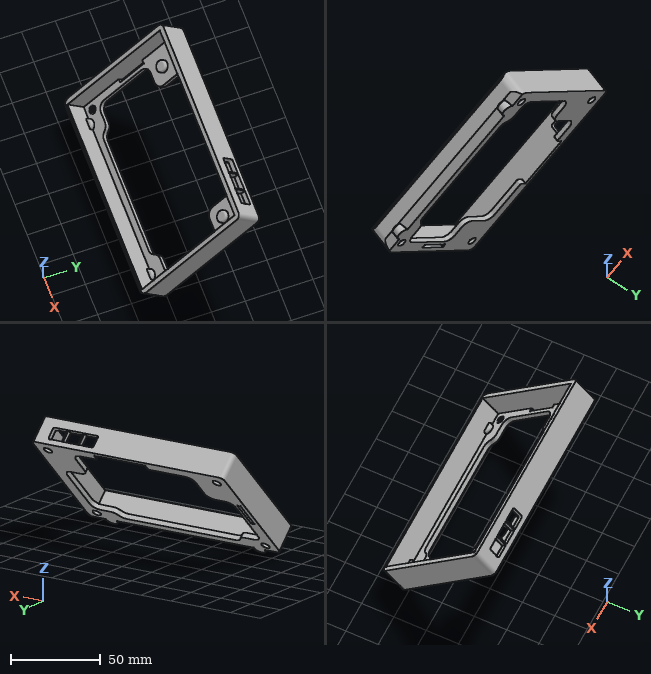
import cadquery as cq
import math


width = 128.8
length = 83.7
depth = 16.9
wall = 3.2
floor = 3.2
tilt_angle = 45.0
top_corner_radius = 3.1
bottom_corner_radius = 5.9
front_chamfer = 2.0
back_bevel_depth = 5.7
back_bevel_inset = 2.0

side_rail_width = 7.9
end_rail_width = 7.6
tab_reach = 24.2
upper_tab_length = 29.6
lower_tab_length = 12.8
opening_radius = 5.0

gap_start = 53.8
gap_end = 88.0
gap_corner_radius = 0.9

slit_width = 2.2
slit_length = 19.7
slit_offset = 31.5

window_start = 88.9
window_end = 118.9
window_sill = 3.3
window_height = 7.6
window_corner_radius = 0.9
bar_width = 0.9
bar_pitch = 10.8

peg_height = 5.5
peg_rounding = 1.1
peg_side_offset = 14.7
upper_peg_diameter = 7.2
upper_peg_offset = 20.1
lower_peg_diameter = 7.7
lower_peg_offset = 1.9

hole_diameter = 3.0
hole_offset = 7.7
bore_diameter = 5.0
bore_depth = 2.6


def block(x_range, y_range, z_range):
    """Box spanning the given (low, high) ranges."""
    low, high = zip(x_range, y_range, z_range)
    size = [top - bottom for bottom, top in zip(low, high)]
    return cq.Workplane("XY").box(*size, centered=False).translate(low)


def disc(x, y, diameter, height):
    """Upright cylinder standing on the back plane."""
    return cq.Workplane("XY").center(x, y).circle(diameter / 2).extrude(height)


def make_tray():
    """Tray with rounded corners, a chamfered front lower edge and a bevelled back lower edge."""
    body = block((0, width), (0, length), (0, depth))
    body = body.edges("|Z and >Y").fillet(top_corner_radius)
    body = body.edges("|Z and <Y").fillet(bottom_corner_radius)
    side_profile = (
        cq.Workplane("YZ")
        .moveTo(back_bevel_inset, 0)
        .lineTo(length, 0)
        .lineTo(length, depth)
        .lineTo(front_chamfer, depth)
        .lineTo(0, depth - front_chamfer)
        .lineTo(0, back_bevel_depth)
        .close()
        .extrude(width)
    )
    cavity = block((wall, width - wall), (wall, length - wall), (floor, depth))
    return body.intersect(side_profile).cut(cavity)


def make_opening():
    """Floor opening, drawn as its left half and mirrored about the middle of the width."""
    r = opening_radius
    upper_rail = length - end_rail_width
    upper_tab = length - upper_tab_length
    drop = lower_tab_length - end_rail_width
    run = 2 * r * math.sin(math.acos(1 - drop / (2 * r)))
    swing_start = tab_reach - r
    half = (
        cq.Workplane("XY")
        .moveTo(width / 2, end_rail_width)
        .lineTo(swing_start + run, end_rail_width)
        .radiusArc((swing_start + run / 2, end_rail_width + drop / 2), r)
        .radiusArc((swing_start, lower_tab_length), -r)
        .lineTo(side_rail_width + r, lower_tab_length)
        .radiusArc((side_rail_width, lower_tab_length + r), r)
        .lineTo(side_rail_width, upper_tab - r)
        .radiusArc((side_rail_width + r, upper_tab), r)
        .lineTo(tab_reach - r, upper_tab)
        .radiusArc((tab_reach, upper_tab + r), -r)
        .lineTo(tab_reach, upper_rail - r)
        .radiusArc((tab_reach + r, upper_rail), r)
        .lineTo(width / 2, upper_rail)
        .close()
        .extrude(floor)
    )
    return half.union(half.mirror("YZ", (width / 2, 0, 0)))


def cut_gap(frame):
    """Interrupt the upper rail and round the two free corners this leaves."""
    rail_edge = length - end_rail_width
    frame = frame.cut(block((gap_start, gap_end), (rail_edge, length - wall), (0, floor)))
    margin = 0.1
    free_corners = cq.selectors.BoxSelector(
        (gap_start - margin, rail_edge - margin, 0),
        (gap_end + margin, rail_edge + margin, floor),
    )
    return frame.edges("|Z").edges(free_corners).fillet(gap_corner_radius)


def make_slit():
    """Narrow slit through the floor against the left wall."""
    slit_top = length - slit_offset
    return block((wall, wall + slit_width), (slit_top - slit_length, slit_top), (0, floor))


def make_window():
    """Rounded window divided into three panes by two bars."""
    across_wall = (length - wall, length)
    window_heights = (window_sill, window_sill + window_height)
    window = block((window_start, window_end), across_wall, window_heights)
    window = window.edges("|Y").fillet(window_corner_radius)
    middle = (window_start + window_end) / 2
    for bar_x in (middle - bar_pitch / 2, middle + bar_pitch / 2):
        bar_sides = (bar_x - bar_width / 2, bar_x + bar_width / 2)
        window = window.cut(block(bar_sides, across_wall, window_heights))
    return window


def make_peg(x, y, diameter):
    """Peg rising from the back plane with a rounded top edge."""
    return disc(x, y, diameter, peg_height).faces(">Z").edges().fillet(peg_rounding)


def make_screw_hole(x, y):
    """Through hole with a wider bore on the back."""
    return disc(x, y, hole_diameter, floor).union(disc(x, y, bore_diameter, bore_depth))


frame = make_tray().cut(make_opening())
frame = cut_gap(frame)
frame = frame.cut(make_slit()).cut(make_window())

for x in (peg_side_offset, width - peg_side_offset):
    frame = frame.union(make_peg(x, lower_peg_offset, lower_peg_diameter))
    frame = frame.union(make_peg(x, length - upper_peg_offset, upper_peg_diameter))

for x in (hole_offset, width - hole_offset):
    for y in (hole_offset, length - hole_offset):
        frame = frame.cut(make_screw_hole(x, y))

result = frame.rotate((0, 0, 0), (1, 0, 0), tilt_angle)